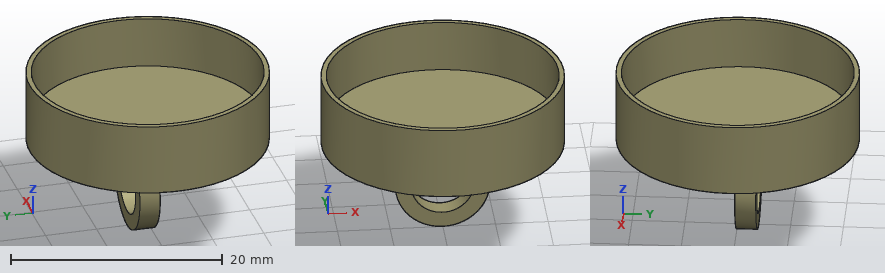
import cadquery as cq

cup_diameter = 23.0
cup_height = 7.0
wall_thickness = 0.5
floor_thickness = 2.0

ring_outer_diameter = 9.02
ring_bore_diameter = 6.0
ring_width = 2.0


def make_cup():
    """Cylinder with a concentric round pocket that leaves the wall and floor."""
    pocket_diameter = cup_diameter - 2 * wall_thickness
    pocket_depth = cup_height - floor_thickness
    body = cq.Workplane("XY").circle(cup_diameter / 2).extrude(cup_height)
    return body.faces(">Z").workplane().circle(pocket_diameter / 2).cutBlind(-pocket_depth)


def make_ring():
    """Hoop touching the cup's underside along its top line, from Y = 0 toward +Y."""
    return (
        cq.Workplane("XZ")
        .center(0, -ring_outer_diameter / 2)
        .circle(ring_outer_diameter / 2)
        .circle(ring_bore_diameter / 2)
        .extrude(-ring_width)
    )


cup = make_cup()
ring = make_ring()

result = cq.Compound.makeCompound([cup.val(), ring.val()])